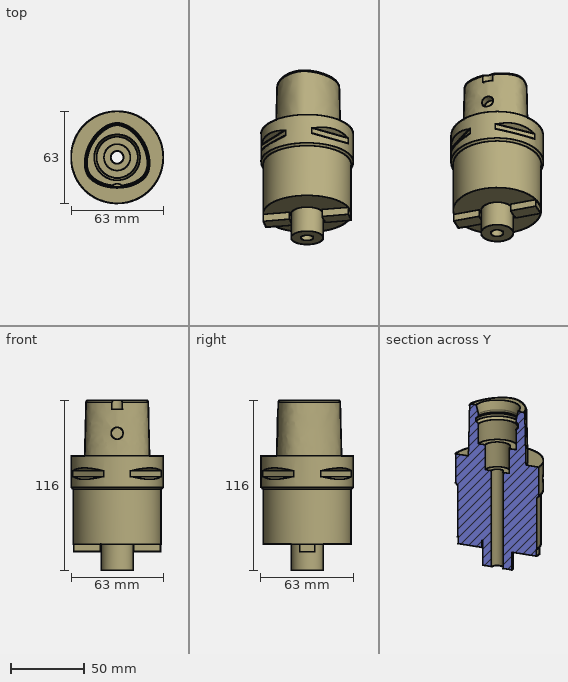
import cadquery as cq
import math


shank_height = 38.0
shank_base_radius = 22.2
shank_taper = 1 / 40
lobe_height = 1.3
shank_chamfer_height = 1.3
shank_chamfer_inset = 0.75
lobe_count = 3
outline_points = 48

flange_radius = 31.5
flange_height = 22.7
body_radius = 30.0
body_bottom = -60.0
pilot_radius = 11.0
pilot_height = 18.0

key_width = 10.0
key_height = 5.2
key_inner_end = 11.3

groove_level = -12.0
groove_floor_height = 4.0
groove_floor_distance = 27.75
groove_wall_height = 0.45
groove_flare_angle = 30.0
groove_angles = (45, 135, 225, 315)
cut_clearance = 1.0

mouth_radius = 15.65
clamp_bore_radius = 14.0
mouth_depth = 6.3
lip_depth = 8.1
recess_radius = 15.8
recess_bottom_depth = 13.6
clamp_bore_depth = 28.0
screw_bore_radius = 9.0
screw_bore_depth = 46.0
through_radius = 4.25

side_hole_diameter = 8.1
side_hole_level = 15.5
side_hole_floor = 14.4
notch_radius = 4.4
notch_depth = 6.0
notch_inner_distance = 17.95


def lobed_point(mean_radius, angle):
    """Outline point whose tangent line, square to angle, is at the lobed distance from the axis."""
    phase = lobe_count * (angle - math.pi / 2)
    reach = mean_radius + lobe_height * math.cos(phase)
    slide = -lobe_count * lobe_height * math.sin(phase)
    x = reach * math.cos(angle) - slide * math.sin(angle)
    y = reach * math.sin(angle) + slide * math.cos(angle)
    return x, y


def lobed_outline(mean_radius):
    step = 2 * math.pi / outline_points
    return [lobed_point(mean_radius, math.pi / 2 + i * step) for i in range(outline_points)]


def lobed_frustum(bottom, height, bottom_radius, top_radius):
    return (
        cq.Workplane("XY")
        .workplane(offset=bottom)
        .spline(lobed_outline(bottom_radius), periodic=True)
        .close()
        .workplane(offset=height)
        .spline(lobed_outline(top_radius), periodic=True)
        .close()
        .loft(ruled=True)
    )


def make_shank():
    straight_height = shank_height - shank_chamfer_height
    shoulder_radius = shank_base_radius - shank_taper * straight_height
    tip_radius = shoulder_radius - shank_chamfer_inset
    taper = lobed_frustum(0, straight_height, shank_base_radius, shoulder_radius)
    chamfer = lobed_frustum(straight_height, shank_chamfer_height, shoulder_radius, tip_radius)
    return taper.union(chamfer)


def make_turned_body():
    pilot_bottom = body_bottom - pilot_height
    flange_chamfer = flange_radius - body_radius
    profile = [
        (0, 0),
        (flange_radius, 0),
        (flange_radius, flange_chamfer - flange_height),
        (body_radius, -flange_height),
        (body_radius, body_bottom),
        (pilot_radius, body_bottom),
        (pilot_radius, pilot_bottom),
        (0, pilot_bottom),
    ]
    return cq.Workplane("XZ").polyline(profile).close().revolve(360, (0, 0), (0, 1))


def make_keys():
    outer_end = math.sqrt(body_radius**2 - (key_width / 2) ** 2)
    key_length = outer_end - key_inner_end
    key_center = (outer_end + key_inner_end) / 2
    return (
        cq.Workplane("XY")
        .workplane(offset=body_bottom)
        .pushPoints([(-key_center, 0), (key_center, 0)])
        .rect(key_length, key_width)
        .extrude(-key_height)
    )


def make_gripper_groove(angle):
    half_floor = groove_floor_height / 2
    flare_start = groove_floor_distance + groove_wall_height
    outside = flange_radius + cut_clearance
    half_mouth = half_floor + (outside - flare_start) * math.tan(math.radians(groove_flare_angle))
    section = [
        (groove_floor_distance, groove_level - half_floor),
        (flare_start, groove_level - half_floor),
        (outside, groove_level - half_mouth),
        (outside, groove_level + half_mouth),
        (flare_start, groove_level + half_floor),
        (groove_floor_distance, groove_level + half_floor),
    ]
    groove = cq.Workplane("XZ").polyline(section).close().extrude(flange_radius, both=True)
    return groove.rotate((0, 0, 0), (0, 0, 1), angle)


def make_bore():
    top = shank_height
    recess_step = recess_radius - clamp_bore_radius
    bottom = body_bottom - pilot_height
    profile = [
        (0, top),
        (mouth_radius, top),
        (clamp_bore_radius, top - mouth_depth),
        (clamp_bore_radius, top - lip_depth),
        (recess_radius, top - lip_depth - recess_step),
        (recess_radius, top - recess_bottom_depth + recess_step),
        (clamp_bore_radius, top - recess_bottom_depth),
        (clamp_bore_radius, top - clamp_bore_depth),
        (screw_bore_radius, top - clamp_bore_depth),
        (screw_bore_radius, top - screw_bore_depth),
        (through_radius, top - screw_bore_depth),
        (through_radius, bottom),
        (0, bottom),
    ]
    return cq.Workplane("XZ").polyline(profile).close().revolve(360, (0, 0), (0, 1))


def make_side_hole():
    return (
        cq.Workplane("XZ", origin=(0, -side_hole_floor, side_hole_level))
        .circle(side_hole_diameter / 2)
        .extrude(flange_radius - side_hole_floor)
    )


def make_notch():
    return (
        cq.Workplane("XY", origin=(0, -notch_inner_distance - notch_radius, shank_height))
        .circle(notch_radius)
        .extrude(-notch_depth)
    )


result = make_turned_body().union(make_shank()).union(make_keys())
for groove_angle in groove_angles:
    result = result.cut(make_gripper_groove(groove_angle))
result = result.cut(make_bore()).cut(make_side_hole()).cut(make_notch())